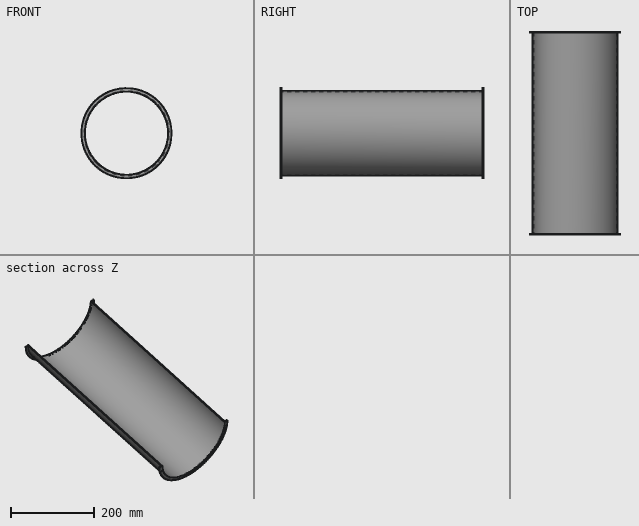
import cadquery as cq

length = 488.0
bore_diameter = 199.0
pipe_diameter = 205.0
flange_diameter = 217.0
flange_thickness = 3.0


def cylinder_along_y(diameter, start, depth):
    """Solid cylinder running from y = start towards +Y."""
    plane = cq.Workplane("XZ", origin=(0, start, 0))
    return plane.circle(diameter / 2).extrude(-depth)


pipe = cylinder_along_y(pipe_diameter, -length / 2, length)

for flange_start in (-length / 2, length / 2 - flange_thickness):
    pipe = pipe.union(cylinder_along_y(flange_diameter, flange_start, flange_thickness))

bore = cylinder_along_y(bore_diameter, -length / 2, length)
result = pipe.cut(bore)